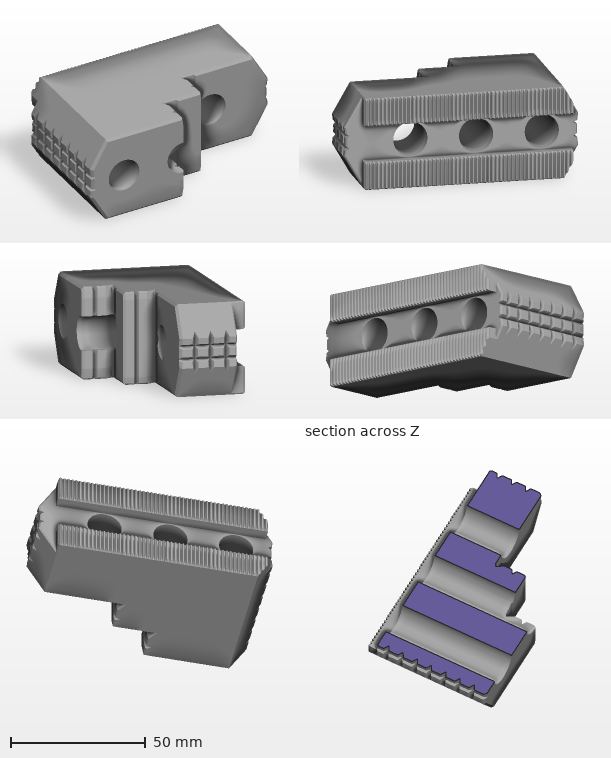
import cadquery as cq
import math


length = 88.9
height = 51.0
width = 35.0
half_length = length / 2
half_width = width / 2

base_x = 5.0
step_rise = 12.0
step_x = [height - 2 * step_rise, height - step_rise, height]
nose_y = {1: 9.4, 2: -4.7}
nose_radius = {1: 106.6, 2: 88.9}
nose_flat_half = {1: 14.7, 2: 13.3}
nose_groove_depth = 1.7
nose_groove_setback = 5.1
face_chamfer = 1.0
base_chamfer = 0.5
nose_chamfer = 0.5

relief_run = 2.8
relief_angle = 30
undercut_depth = 0.5
undercut_above_nose = 4.0
undercut_below_nose = 0.8

slope_angle = 60
front_sag = 0.4
back_sag = 0.5
front_half_chord = 6.1
back_half_chord = 5.6
front_rib_z = 2.7
back_rib_z = 2.5
end_groove_pitch = step_rise / 2
front_groove_count = 7
back_groove_count = 3

end_groove_depth = 1.9
groove_half_angle = 30
rib_groove_depth = 1.6

rail_front_y = -41.7
rail_back_y = 37.9
tooth_count = 53
tooth_height = 1.0
tooth_tip = 0.4
tooth_gap = 0.35
rail_edge_chamfer = 0.5
slot_half_width = 6.9

hole_diameter = 13.0
hole_pitch = 25.0
middle_hole_y = -5.5

margin = 0.9


def arc_radius(half_chord, sag):
    return (half_chord**2 + sag**2) / (2 * sag)


def end_outline():
    """Outline across the jaw: sloped corners and a hollow arc at each gripping end."""
    slope = math.tan(math.radians(slope_angle))
    front_y = -half_length + (half_width - front_half_chord) / slope
    back_y = half_length - (half_width - back_half_chord) / slope
    return (
        cq.Workplane("YZ")
        .moveTo(front_y, -half_width)
        .lineTo(back_y, -half_width)
        .lineTo(half_length, -back_half_chord)
        .threePointArc((half_length - back_sag, 0), (half_length, back_half_chord))
        .lineTo(back_y, half_width)
        .lineTo(front_y, half_width)
        .lineTo(-half_length, front_half_chord)
        .threePointArc((-half_length + front_sag, 0), (-half_length, -front_half_chord))
        .close()
    )


def bar(top_x):
    """Full-length bar from the base up to one step face, chamfered around both."""
    body = end_outline().extrude(top_x - base_x).translate((base_x, 0, 0))
    return body.faces(">X").edges().chamfer(face_chamfer).faces("<X").edges().chamfer(base_chamfer)


def revolve_about(points, axis_y):
    """Solid of revolution of an XY outline about a line parallel to X at the given Y."""
    return cq.Workplane("XY").polyline(points).close().revolve(360, (0, axis_y, 0), (1, axis_y, 0))


def nose_outline(step, rise, floor_y):
    """XY outline under one step nose, with its relief slope, V-groove and corner, lifted by rise."""
    corner_x = step_x[step - 1] - face_chamfer
    slope_x = step_x[step - 1] + relief_run
    corner_y = nose_y[step] - (slope_x - corner_x) * math.tan(math.radians(relief_angle))
    groove_x = step_x[step] - nose_groove_setback
    half_mouth = nose_groove_depth * math.tan(math.radians(groove_half_angle))
    top = nose_y[step] + rise
    return [
        (0, floor_y),
        (0, corner_y + rise),
        (corner_x, corner_y + rise),
        (slope_x, top),
        (groove_x - half_mouth, top),
        (groove_x, top - nose_groove_depth),
        (groove_x + half_mouth, top),
        (step_x[step] - face_chamfer, top),
        (step_x[step], top - nose_chamfer),
        (step_x[step], floor_y),
    ]


def step_bar(step):
    """Bar that ends at +Y in a nose: flat in the middle, curving back towards both sides."""
    radius = nose_radius[step]
    rise = radius - math.sqrt(radius**2 - nose_flat_half[step] ** 2)
    axis_y = nose_y[step] + rise - radius
    flat_outline = nose_outline(step, 0, -half_length)
    flat_nose = cq.Workplane("XY").polyline(flat_outline).close().extrude(half_width, both=True)
    curved_nose = revolve_about(nose_outline(step, rise, axis_y), axis_y)
    body = bar(step_x[step]).intersect(flat_nose).intersect(curved_nose)
    chamfer_z = half_width - nose_chamfer
    chamfer_y = axis_y + math.sqrt(radius**2 - chamfer_z**2)
    wedge = (
        cq.Workplane("YZ")
        .polyline(
            [
                (chamfer_y - nose_chamfer, half_width),
                (chamfer_y + nose_chamfer, chamfer_z - nose_chamfer),
                (chamfer_y + nose_chamfer, half_width),
            ]
        )
        .close()
        .extrude(height)
    )
    return body.cut(wedge).cut(wedge.mirror("XY"))


def undercut(step):
    """Shallow trapezoidal trough in a step face, just above the nose of the next step."""
    face_x = step_x[step - 1]
    floor_x = face_x - undercut_depth
    low_y = nose_y[step] - undercut_below_nose
    high_y = nose_y[step] + undercut_above_nose
    return (
        cq.Workplane("XY")
        .polyline(
            [
                (face_x + undercut_depth, low_y - 2 * undercut_depth),
                (floor_x, low_y),
                (floor_x, high_y - undercut_depth),
                (face_x + undercut_depth, high_y + undercut_depth),
            ]
        )
        .close()
        .extrude(half_width + margin, both=True)
    )


def groove_points(surface, depth):
    """Triangle of a V-groove sunk to the given depth outside a surface level, as (across, along) pairs."""
    half_mouth = (depth + margin) * math.tan(math.radians(groove_half_angle))
    return [
        (0, surface + depth),
        (-half_mouth, surface - margin),
        (half_mouth, surface - margin),
    ]


def end_cuts(side, half_chord, sag, rib_z, groove_count):
    """Crossing V-grooves of one gripping end; side is -1 for the -Y end and +1 for the +Y end."""
    radius = arc_radius(half_chord, sag)
    axis_y = side * (half_length - sag + radius)
    first_x = height - front_groove_count * end_groove_pitch
    cuts = []
    for index in range(groove_count):
        x = first_x + index * end_groove_pitch
        ring_section = groove_points(radius, end_groove_depth)
        ring = [(x + across, axis_y + along) for across, along in ring_section]
        cuts.append(revolve_about(ring, axis_y))
    rib_section = groove_points(radius, rib_groove_depth)
    rib_points = [(axis_y - side * along, across) for across, along in rib_section]
    rib_cut = cq.Workplane("YZ").polyline(rib_points).close().extrude(height)
    rib_angle = math.degrees(math.asin(rib_z / (radius + rib_groove_depth)))
    for angle in (-rib_angle, rib_angle):
        cuts.append(rib_cut.rotate((0, axis_y, 0), (1, axis_y, 0), angle))
    return cuts


def rails():
    """Two serrated rails on the base, either side of the slot, trimmed by the sloped ends."""
    pitch = (rail_back_y - rail_front_y) / tooth_count
    root_x = base_x + margin
    comb = [(root_x, rail_front_y)]
    for index in range(tooth_count):
        start_y = rail_front_y + index * pitch
        center_y = start_y + pitch / 2
        comb += [
            (tooth_height, start_y),
            (tooth_height, start_y + tooth_gap / 2),
            (0, center_y - tooth_tip / 2),
            (0, center_y + tooth_tip / 2),
            (tooth_height, start_y + pitch - tooth_gap / 2),
        ]
    comb += [(tooth_height, rail_back_y), (root_x, rail_back_y)]
    teeth = cq.Workplane("XY").polyline(comb).close().extrude(half_width, both=True)
    section = [
        (root_x, slot_half_width),
        (tooth_height, slot_half_width),
        (0, slot_half_width + rail_edge_chamfer),
        (0, half_width - rail_edge_chamfer),
        (tooth_height, half_width),
        (root_x, half_width),
    ]
    rail = cq.Workplane("XZ").polyline(section).close().extrude(half_length, both=True)
    rail = rail.intersect(teeth).intersect(end_outline().extrude(height))
    return rail.union(rail.mirror("XY"))


body = bar(step_x[0])
for step in (1, 2):
    body = body.cut(undercut(step)).union(step_bar(step))

for cutter in end_cuts(-1, front_half_chord, front_sag, front_rib_z, front_groove_count):
    body = body.cut(cutter)
for cutter in end_cuts(1, back_half_chord, back_sag, back_rib_z, back_groove_count):
    body = body.cut(cutter)

body = body.union(rails())
for index in (-1, 0, 1):
    hole = cq.Workplane("YZ").center(middle_hole_y + index * hole_pitch, 0).circle(hole_diameter / 2)
    body = body.cut(hole.extrude(height))

result = body